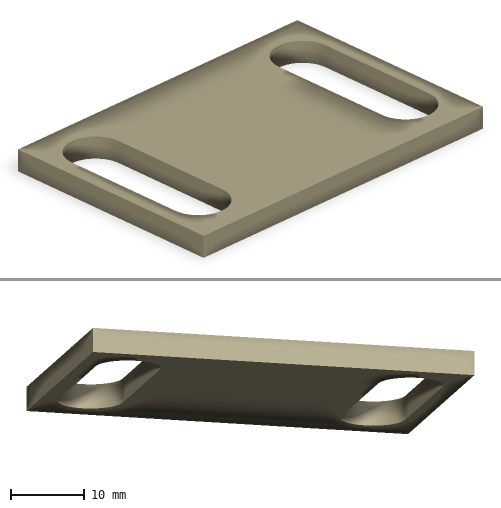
import cadquery as cq

plate_width = 36.0
plate_length = 54.0
plate_thickness = 3.4

slot_length = 29.0
slot_width = 9.0
slot_spacing = 40.0

plate = cq.Workplane("XY").box(plate_width, plate_length, plate_thickness)

result = (
    plate.faces(">Z")
    .workplane()
    .pushPoints([(0, -slot_spacing / 2), (0, slot_spacing / 2)])
    .slot2D(slot_length, slot_width)
    .cutThruAll()
)